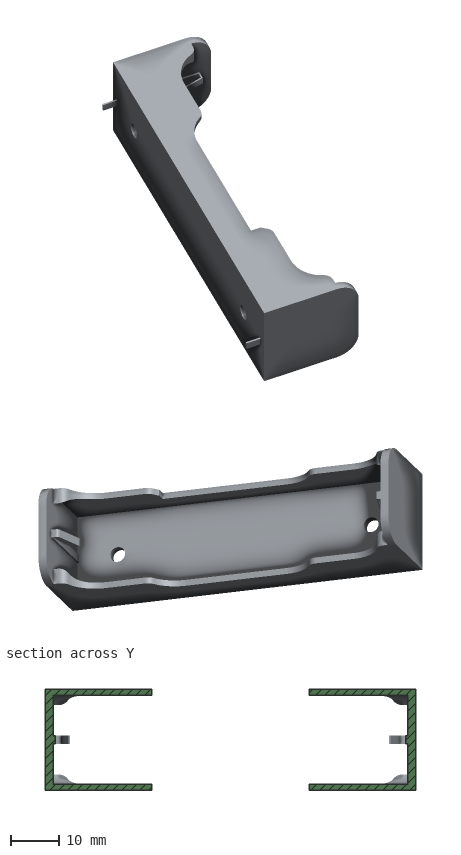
import cadquery as cq
import math

LENGTH = 76.95
WIDTH = 21.0
HEIGHT = 21.5
CORNER_RADIUS = 5.0
END_WALL = 1.8
FLOOR = 2.0
SIDE_WALL = 1.3

SHOULDER_HEIGHT = 16.9
STEP_HEIGHT = 11.1
LOW_HEIGHT = 6.9
CREST_RADIUS = 2.0
VALLEY_RADIUS = 7.0
UPPER_VALLEY_X = 11.2
LOWER_VALLEY_X = 27.3
NOTCH_END_X = 54.7

HOLE_DIAMETER = 3.2
HOLE_INSET = 10.6

PIN_LENGTH = 3.2
CONTACT_WIDTH = 1.7
LEG_THICKNESS = 0.4
BLADE_THICKNESS = 0.3
CONTACT_TOP = 18.8
BLADE_DROP = 6.9
BLADE_REACH = 2.2
SHARP_LEAN = 13.0
ROUNDED_LEAN = 18.0
ROUNDED_BEND = 0.85

MID_X = LENGTH / 2
MID_Z = WIDTH / 2
CAVITY_RADIUS = MID_Z - SIDE_WALL
AXIS_HEIGHT = FLOOR + CAVITY_RADIUS


def s_curve(valley_x, low, high):
    """Key points of a rim curve from its crest, through the inflection, to its valley."""
    total = CREST_RADIUS + VALLEY_RADIUS
    rise = total - (high - low)
    run = math.sqrt(total**2 - rise**2)
    crest_x = valley_x - run
    crest_y = high - CREST_RADIUS
    join_angle = math.atan2(rise, run)
    valley_y = low + VALLEY_RADIUS
    crest_angle = (join_angle + math.pi / 2) / 2
    valley_angle = -crest_angle

    def on_crest(angle):
        return (crest_x + CREST_RADIUS * math.cos(angle), crest_y + CREST_RADIUS * math.sin(angle))

    def on_valley(angle):
        return (valley_x - VALLEY_RADIUS * math.cos(angle), valley_y + VALLEY_RADIUS * math.sin(angle))

    return {
        "crest": (crest_x, high),
        "crest_mid": on_crest(crest_angle),
        "join": on_crest(join_angle),
        "valley_mid": on_valley(valley_angle),
        "valley": (valley_x, low),
    }


def make_tray():
    """Block with rounded upper corners around a cavity that closes in over the cell."""
    block = cq.Workplane("XY").box(LENGTH, HEIGHT, WIDTH, centered=False)
    block = block.edges("|X and >Y").fillet(CORNER_RADIUS)
    cavity = (
        cq.Workplane("YZ", origin=(END_WALL, 0, 0))
        .moveTo(FLOOR, SIDE_WALL)
        .lineTo(AXIS_HEIGHT, SIDE_WALL)
        .threePointArc((AXIS_HEIGHT + CAVITY_RADIUS, MID_Z), (AXIS_HEIGHT, WIDTH - SIDE_WALL))
        .lineTo(FLOOR, WIDTH - SIDE_WALL)
        .close()
        .extrude(LENGTH - 2 * END_WALL)
    )
    return block.cut(cavity)


def make_rim_cut():
    """Space above the scalloped rim: one half profile, mirrored about the middle."""
    upper = s_curve(UPPER_VALLEY_X, STEP_HEIGHT, SHOULDER_HEIGHT)
    lower = s_curve(LOWER_VALLEY_X, LOW_HEIGHT, STEP_HEIGHT)
    profile = cq.Workplane("XY").moveTo(END_WALL, HEIGHT).lineTo(END_WALL, SHOULDER_HEIGHT)
    for curve in (upper, lower):
        profile = (
            profile.lineTo(*curve["crest"])
            .threePointArc(curve["crest_mid"], curve["join"])
            .threePointArc(curve["valley_mid"], curve["valley"])
        )
    half = profile.lineTo(MID_X, LOW_HEIGHT).lineTo(MID_X, HEIGHT).close().extrude(WIDTH)
    return half.union(half.mirror("YZ", (MID_X, 0, 0)))


def make_notch():
    """Squares off the +X end of the low rim in the +Z wall."""
    return (
        cq.Workplane("XY")
        .box(NOTCH_END_X - MID_X, HEIGHT, MID_Z, centered=False)
        .translate((MID_X, LOW_HEIGHT, MID_Z))
    )


def make_holes():
    """Mounting holes through the floor."""
    return (
        cq.Workplane("XZ")
        .pushPoints([(HOLE_INSET, MID_Z), (LENGTH - HOLE_INSET, MID_Z)])
        .circle(HOLE_DIAMETER / 2)
        .extrude(-HEIGHT)
    )


def make_contact(lean_degrees, bend_radius):
    """Contact at the -X end: a leg down the end wall, bent over into a leaning blade."""
    lean = math.radians(lean_degrees)
    bend_x = END_WALL + BLADE_REACH - (CONTACT_TOP - SHOULDER_HEIGHT) * math.tan(lean)
    tip_x = bend_x + BLADE_DROP * math.tan(lean)
    tip_y = CONTACT_TOP - BLADE_DROP
    blade_run = BLADE_THICKNESS / math.cos(lean)
    under_x = bend_x + BLADE_THICKNESS * math.tan(lean) - blade_run
    leg_x = END_WALL + LEG_THICKNESS
    outline = [
        (END_WALL, -PIN_LENGTH),
        (END_WALL, CONTACT_TOP),
        (bend_x, CONTACT_TOP),
        (tip_x, tip_y),
        (tip_x - blade_run, tip_y),
        (under_x, CONTACT_TOP - BLADE_THICKNESS),
        (leg_x, CONTACT_TOP - BLADE_THICKNESS),
        (leg_x, -PIN_LENGTH),
    ]
    contact = cq.Workplane("XY").polyline(outline).close().extrude(CONTACT_WIDTH)
    if bend_radius:
        bend_edge = cq.selectors.NearestToPointSelector((bend_x, CONTACT_TOP, CONTACT_WIDTH / 2))
        under_edge = cq.selectors.NearestToPointSelector(
            (under_x, CONTACT_TOP - BLADE_THICKNESS, CONTACT_WIDTH / 2)
        )
        contact = contact.edges("|Z").edges(bend_edge).fillet(bend_radius)
        contact = contact.edges("|Z").edges(under_edge).fillet(bend_radius - BLADE_THICKNESS)
    return contact.translate((0, 0, MID_Z - CONTACT_WIDTH / 2))


tray = make_tray().cut(make_rim_cut()).cut(make_notch()).cut(make_holes())
sharp_contact = make_contact(SHARP_LEAN, 0)
rounded_contact = make_contact(ROUNDED_LEAN, ROUNDED_BEND).mirror("YZ", (MID_X, 0, 0))
result = tray.union(sharp_contact).union(rounded_contact)